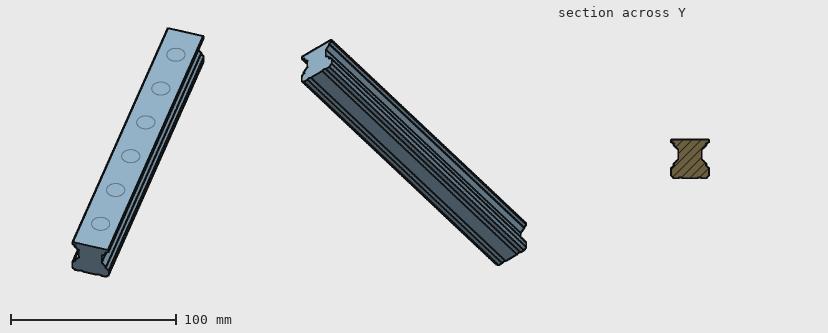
import cadquery as cq

length = 190.0
width = 23.0
height = 23.5
half_width = width / 2

base_chamfer = 1.7
base_side_top = 6.0
web_half_width = 7.2
web_bottom = 11.4
web_top = 17.3
flank_width = 2.8
flank_step = 0.5
head_side_bottom = 21.8
head_chamfer = 0.48

groove_offset = 5.7
groove_width = 2.7
groove_depth = 0.5

cap_count = 6
cap_pitch = 30.0
cap_diameter = 11.0
cap_depth = 1.9


def rail_body():
    """Extrude the symmetric rail section along Y."""
    flank_edge = web_half_width + flank_width
    step_root = flank_edge - flank_step
    lower_edge_z = web_bottom - flank_width
    upper_edge_z = web_top + flank_width
    right_side = [
        (half_width - base_chamfer, 0),
        (half_width, base_chamfer),
        (half_width, base_side_top),
        (step_root, lower_edge_z - flank_step),
        (flank_edge, lower_edge_z),
        (web_half_width, web_bottom),
        (web_half_width, web_top),
        (flank_edge, upper_edge_z),
        (step_root, upper_edge_z + flank_step),
        (half_width, head_side_bottom),
        (half_width, height - head_chamfer),
        (half_width - head_chamfer, height),
    ]
    left_side = [(-x, z) for x, z in reversed(right_side)]
    section = cq.Workplane("XZ").polyline(right_side + left_side).close()
    return section.extrude(length / 2, both=True)


def underside_groove(x):
    """Shallow groove with an arched roof, running the full length."""
    section = (
        cq.Workplane("XZ")
        .moveTo(x - groove_width / 2, 0)
        .threePointArc((x, groove_depth), (x + groove_width / 2, 0))
        .close()
    )
    return section.extrude(length / 2, both=True)


def cap_cylinders():
    """Row of cap discs, flush with the top face."""
    return (
        cq.Workplane("XY", origin=(0, 0, height - cap_depth))
        .rarray(1.9, cap_pitch, 1, cap_count)
        .circle(cap_diameter / 2)
        .extrude(cap_depth)
    )


rail = rail_body()
for side in (-1, 1):
    rail = rail.cut(underside_groove(side * groove_offset))

result = rail.union(cap_cylinders(), clean=False)